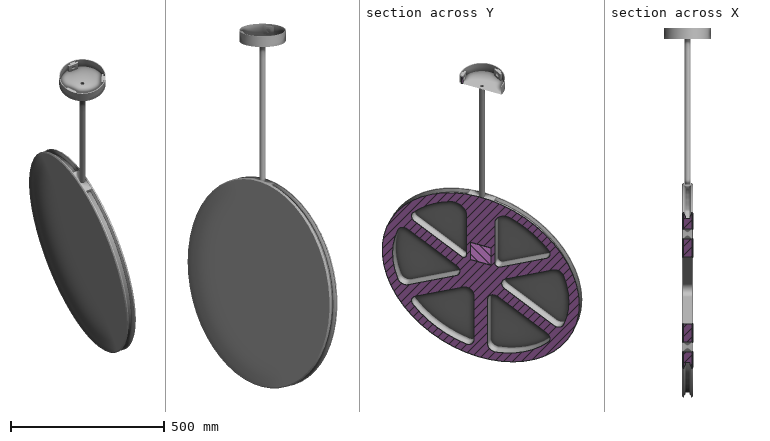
import cadquery as cq
import math

TOTAL_HEIGHT = 1205.0
TOP_Z = TOTAL_HEIGHT / 2

CANOPY_DIAMETER = 152.0
CANOPY_HEIGHT = 36.0
CANOPY_WALL = 2.0
CLIP_COUNT = 3
CLIP_FIRST_ANGLE = 60.0
CLIP_NECK_WIDTH = 18.0
CLIP_FLANGE_WIDTH = 34.0
CLIP_FLANGE_THICKNESS = 6.0
CLIP_INNER_DISTANCE = 63.0
CLIP_TOP_GAP = 5.0
CLIP_HOLE_DIAMETER = 15.0

TUBE_DIAMETER = 20.0
TUBE_BORE = 12.0

WHEEL_DIAMETER = 699.0
WHEEL_THICKNESS = 35.0
PANEL_THICKNESS = 2.0
PANEL_DIAMETER = 687.0
RIM_BEVEL = 4.0
LIP_THICKNESS = 6.0
LIP_HEIGHT = 4.0
GROOVE_FLOOR_RADIUS = 335.0
GROOVE_FLOOR_HALF_WIDTH = 6.0
GROOVE_STEP = 4.0

OPENING_COUNT = 6
SPOKE_WIDTH = 51.0
OPENING_OUTER_RADIUS = 311.0
OPENING_CORNER_RADIUS = 24.0
TOP_SPOKE_WIDTH = 101.0
TOP_INNER_CORNER_RADIUS = 12.0
TOP_OUTER_CORNER_RADIUS = 42.0

TOP_OPENINGS = (1, 2)

DRIVER_SIZE = 72.0
DRIVER_OFFSET = 102.0

MOUNT_LENGTH = 90.0
MOUNT_TOP_GAP = 5.0

WHEEL_RADIUS = WHEEL_DIAMETER / 2
WHEEL_Z = WHEEL_RADIUS - TOP_Z
CORE_THICKNESS = WHEEL_THICKNESS - 2 * PANEL_THICKNESS
CANOPY_RADIUS = CANOPY_DIAMETER / 2
CANOPY_BOTTOM_Z = TOP_Z - CANOPY_HEIGHT
FLOOR_TOP_Z = CANOPY_BOTTOM_Z + CANOPY_WALL
MOUNT_TOP_Z = WHEEL_Z + WHEEL_RADIUS - MOUNT_TOP_GAP
MOUNT_WIDTH = WHEEL_THICKNESS - 2 * LIP_THICKNESS
MOUNT_BOTTOM_Z = WHEEL_Z + GROOVE_FLOOR_RADIUS - GROOVE_STEP


def block(length, width, bottom_z, top_z):
    """Upright block centred on the Z axis."""
    return (
        cq.Workplane("XY", origin=(0, 0, bottom_z))
        .rect(length, width)
        .extrude(top_z - bottom_z)
    )


def make_clip():
    """T-shaped clip on the +X side of the canopy wall, with a radial screw hole."""
    clip_top_z = TOP_Z - CLIP_TOP_GAP
    height = clip_top_z - FLOOR_TOP_Z
    neck_end = CANOPY_RADIUS - CANOPY_WALL / 2
    neck_length = neck_end - CLIP_INNER_DISTANCE
    base = cq.Workplane("XY", origin=(CLIP_INNER_DISTANCE, 0, FLOOR_TOP_Z))
    neck = base.center(neck_length / 2, 0).rect(neck_length, CLIP_NECK_WIDTH).extrude(height)
    flange = (
        base.center(CLIP_FLANGE_THICKNESS / 2, 0)
        .rect(CLIP_FLANGE_THICKNESS, CLIP_FLANGE_WIDTH)
        .extrude(height)
    )
    hole = (
        cq.Workplane("YZ", origin=(CLIP_INNER_DISTANCE, 0, FLOOR_TOP_Z + height / 2))
        .circle(CLIP_HOLE_DIAMETER / 2)
        .extrude(CLIP_FLANGE_THICKNESS)
    )
    return neck.union(flange).cut(hole)


def make_canopy():
    outside = (
        cq.Workplane("XY", origin=(0, 0, CANOPY_BOTTOM_Z))
        .circle(CANOPY_RADIUS)
        .extrude(CANOPY_HEIGHT)
    )
    inside = (
        cq.Workplane("XY", origin=(0, 0, FLOOR_TOP_Z))
        .circle(CANOPY_RADIUS - CANOPY_WALL)
        .extrude(CANOPY_HEIGHT)
    )
    tube_hole = (
        cq.Workplane("XY", origin=(0, 0, CANOPY_BOTTOM_Z))
        .circle(TUBE_DIAMETER / 2)
        .extrude(CANOPY_HEIGHT)
    )
    canopy = outside.cut(inside).cut(tube_hole)
    for i in range(CLIP_COUNT):
        angle = CLIP_FIRST_ANGLE + i * 360 / CLIP_COUNT
        canopy = canopy.union(make_clip().rotate((0, 0, 0), (0, 0, 1), angle))
    return canopy


def make_tube():
    """Tube from the canopy floor down to the mount block."""
    return (
        cq.Workplane("XY", origin=(0, 0, MOUNT_TOP_Z))
        .circle(TUBE_DIAMETER / 2)
        .circle(TUBE_BORE / 2)
        .extrude(FLOOR_TOP_Z - MOUNT_TOP_Z)
    )


def make_sector():
    """Sharp-cornered sector cutter around +X, with sides parallel to the spokes beside it."""
    half_angle = math.pi / OPENING_COUNT
    half_spoke = SPOKE_WIDTH / 2
    apex_x = half_spoke / math.sin(half_angle)
    corner_angle = half_angle - math.asin(half_spoke / OPENING_OUTER_RADIUS)
    corner_x = OPENING_OUTER_RADIUS * math.cos(corner_angle)
    corner_z = OPENING_OUTER_RADIUS * math.sin(corner_angle)
    return (
        cq.Workplane("XZ", origin=(0, CORE_THICKNESS / 2, WHEEL_Z))
        .moveTo(apex_x, 0)
        .lineTo(corner_x, -corner_z)
        .threePointArc((OPENING_OUTER_RADIUS, 0), (corner_x, corner_z))
        .close()
        .extrude(CORE_THICKNESS)
    )


def make_opening(index):
    """Rounded opening cutter; the two openings beside the top spoke are trimmed to make it wider."""
    angle = index * 360 / OPENING_COUNT
    opening = make_sector().rotate((0, 0, WHEEL_Z), (0, 1, WHEEL_Z), -angle)
    if index not in TOP_OPENINGS:
        return opening.edges("|Y").fillet(OPENING_CORNER_RADIUS)
    opening = opening.cut(block(TOP_SPOKE_WIDTH, CORE_THICKNESS, WHEEL_Z, WHEEL_Z + WHEEL_RADIUS))
    far_side = ">X" if index == TOP_OPENINGS[0] else "<X"
    near_side = "<X" if index == TOP_OPENINGS[0] else ">X"
    return (
        opening.edges("|Y").edges(far_side)
        .fillet(OPENING_CORNER_RADIUS)
        .faces(near_side).edges("|Y").edges("<Z")
        .fillet(TOP_INNER_CORNER_RADIUS)
        .faces(near_side).edges("|Y").edges(">Z")
        .fillet(TOP_OUTER_CORNER_RADIUS)
    )


def make_frame_blank():
    """Solid wheel with bevelled edges and a funnel-shaped groove around its rim."""
    half = WHEEL_THICKNESS / 2
    lip_outer = half - RIM_BEVEL
    lip_inner = half - LIP_THICKNESS
    face_radius = WHEEL_RADIUS - RIM_BEVEL
    lip_base_radius = WHEEL_RADIUS - LIP_HEIGHT
    step_radius = GROOVE_FLOOR_RADIUS + GROOVE_STEP
    half_profile = (
        cq.Workplane("XY")
        .lineTo(GROOVE_FLOOR_RADIUS, 0)
        .lineTo(GROOVE_FLOOR_RADIUS, GROOVE_FLOOR_HALF_WIDTH)
        .lineTo(step_radius, GROOVE_FLOOR_HALF_WIDTH)
        .lineTo(lip_base_radius, lip_inner)
        .lineTo(WHEEL_RADIUS, lip_inner)
        .lineTo(WHEEL_RADIUS, lip_outer)
        .lineTo(face_radius, half)
        .lineTo(0, half)
        .close()
    )
    half_wheel = half_profile.revolve(360, (0, 0, 0), (0, 1, 0))
    return half_wheel.union(half_wheel.mirror("XZ")).translate((0, 0, WHEEL_Z))


def make_driver():
    bottom_z = WHEEL_Z + DRIVER_OFFSET - DRIVER_SIZE / 2
    return block(DRIVER_SIZE, CORE_THICKNESS, bottom_z, bottom_z + DRIVER_SIZE)


def make_mount():
    return block(MOUNT_LENGTH, MOUNT_WIDTH, MOUNT_BOTTOM_Z, MOUNT_TOP_Z)


def make_frame(inset_bodies):
    """Spoked frame with recesses for the bodies set into it."""
    frame = make_frame_blank()
    for i in range(OPENING_COUNT):
        frame = frame.cut(make_opening(i))
    for body in inset_bodies:
        frame = frame.cut(body)
    return frame


def make_panel(side):
    """Face panel recessed flush into the -Y (side = -1) or +Y (side = 1) face of the frame."""
    center_y = side * (WHEEL_THICKNESS - PANEL_THICKNESS) / 2
    return (
        cq.Workplane("XZ", origin=(0, center_y + PANEL_THICKNESS / 2, WHEEL_Z))
        .circle(PANEL_DIAMETER / 2)
        .extrude(PANEL_THICKNESS)
    )


canopy = make_canopy()
tube = make_tube()
driver = make_driver()
mount = make_mount()
panels = [make_panel(side) for side in (-1, 1)]
frame = make_frame([driver, mount, *panels])

bodies = [canopy, tube, frame, driver, mount, *panels]

result = cq.Compound.makeCompound([body.solids().val() for body in bodies])